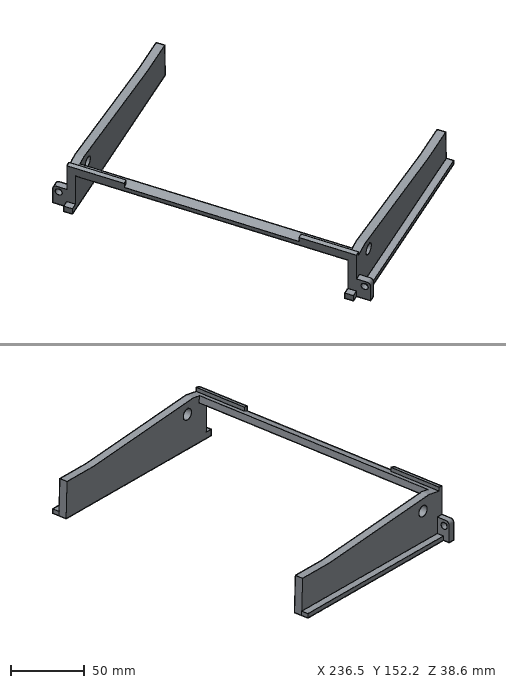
import cadquery as cq
import math

OVERALL_WIDTH = 236.5
OVERALL_HEIGHT = 38.58
PEG_LENGTH = 5.0
RAIL_LENGTH = 152.17 - PEG_LENGTH

EAR_WIDTH = 10.5
EAR_HEIGHT = 16.2
EAR_THICKNESS = 5.0
EAR_CORNER_RADIUS = 3.0
EAR_HOLE_DIAMETER = 5.2
EAR_HOLE_INSET = 4.5
EAR_HOLE_HEIGHT = 11.5

RAIL_THICKNESS = 6.5
RAIL_REAR_HEIGHT = 28.5
RAIL_REAR_FLAT = 28.7
RAIL_REAR_DRAFT = 2.0
RAIL_PEAK_Y = 13.8
RAIL_HOLE_DIAMETER = 8.5
RAIL_HOLE_Y = 20.0
RAIL_HOLE_HEIGHT = 27.1

LEDGE_WIDTH = 5.5
LEDGE_HEIGHT = 3.5

LIP_DEPTH = 3.2
LIP_FOOT_HEIGHT = 35.5
FRONT_SLOPE = 9.3
BAR_DEPTH = 8.1
BAR_UNDERSIDE_HEIGHT = 31.0
RECESS_LENGTH = 130.0
RECESS_FRONT_DEPTH = 4.15

PEG_HEIGHT = 5.0

RAIL_OUTER_X = OVERALL_WIDTH / 2 - EAR_WIDTH
RAIL_INNER_X = RAIL_OUTER_X - RAIL_THICKNESS
SLOPE_RISE = math.tan(math.radians(FRONT_SLOPE))
LIP_FRONT_HEIGHT = OVERALL_HEIGHT - LIP_DEPTH * SLOPE_RISE
RAIL_PEAK_HEIGHT = LIP_FOOT_HEIGHT + (RAIL_PEAK_Y - LIP_DEPTH) * SLOPE_RISE
RAIL_REAR_SETBACK = RAIL_REAR_HEIGHT * math.tan(math.radians(RAIL_REAR_DRAFT))


def box(x_start, x_end, y_start, y_end, z_start, z_end):
    """Axis-aligned block between two opposite corners."""
    size = (x_end - x_start, y_end - y_start, z_end - z_start)
    return cq.Workplane("XY").box(*size, centered=False).translate((x_start, y_start, z_start))


def side_profile(points, x_start, x_end):
    """Prism along X with a closed outline given as (y, z) points."""
    outline = cq.Workplane("YZ", origin=(x_start, 0, 0)).polyline(points).close()
    return outline.extrude(x_end - x_start)


def make_rail():
    """Right-hand rail: raised front lip, sloped top edge and one cross hole."""
    outline = [
        (0, 0),
        (RAIL_LENGTH, 0),
        (RAIL_LENGTH - RAIL_REAR_SETBACK, RAIL_REAR_HEIGHT),
        (RAIL_LENGTH - RAIL_REAR_FLAT, RAIL_REAR_HEIGHT),
        (RAIL_PEAK_Y, RAIL_PEAK_HEIGHT),
        (LIP_DEPTH, LIP_FOOT_HEIGHT),
        (LIP_DEPTH, OVERALL_HEIGHT),
        (0, LIP_FRONT_HEIGHT),
    ]
    rail = side_profile(outline, RAIL_INNER_X, RAIL_OUTER_X)
    hole = (
        cq.Workplane("YZ", origin=(RAIL_INNER_X, 0, 0))
        .center(RAIL_HOLE_Y, RAIL_HOLE_HEIGHT)
        .circle(RAIL_HOLE_DIAMETER / 2)
        .extrude(RAIL_THICKNESS)
    )
    return rail.cut(hole)


def make_ear():
    """Right-hand ear: rounded top outer corner and a through hole along Y."""
    ear = box(RAIL_OUTER_X, OVERALL_WIDTH / 2, 0, EAR_THICKNESS, 0, EAR_HEIGHT)
    ear = ear.edges(">X and >Z").fillet(EAR_CORNER_RADIUS)
    hole = (
        cq.Workplane("XZ")
        .center(OVERALL_WIDTH / 2 - EAR_HOLE_INSET, EAR_HOLE_HEIGHT)
        .circle(EAR_HOLE_DIAMETER / 2)
        .extrude(-EAR_THICKNESS)
    )
    return ear.cut(hole)


def make_side():
    """Everything at the right-hand end: rail, ear, ledge and peg."""
    ledge = box(RAIL_OUTER_X, RAIL_OUTER_X + LEDGE_WIDTH, 0, RAIL_LENGTH, 0, LEDGE_HEIGHT)
    peg = box(RAIL_INNER_X, RAIL_OUTER_X, -PEG_LENGTH, 0, 0, PEG_HEIGHT)
    return make_rail().union(make_ear()).union(ledge).union(peg)


def make_cross_bar():
    """Bar joining the rails: sloped top behind the lip, and a rear face square to that slope."""
    depth_past_lip = BAR_DEPTH - LIP_DEPTH
    rise_to_foot = LIP_FOOT_HEIGHT - BAR_UNDERSIDE_HEIGHT
    top_rear_offset = (depth_past_lip - rise_to_foot * SLOPE_RISE) / (1 + SLOPE_RISE**2)
    outline = [
        (0, BAR_UNDERSIDE_HEIGHT),
        (BAR_DEPTH, BAR_UNDERSIDE_HEIGHT),
        (LIP_DEPTH + top_rear_offset, LIP_FOOT_HEIGHT + top_rear_offset * SLOPE_RISE),
        (LIP_DEPTH, LIP_FOOT_HEIGHT),
        (LIP_DEPTH, OVERALL_HEIGHT),
        (0, LIP_FRONT_HEIGHT),
    ]
    return side_profile(outline, -RAIL_INNER_X, RAIL_INNER_X)


def make_recess():
    """Central cut through the lip, with a floor falling towards the front."""
    outline = [
        (0, OVERALL_HEIGHT - RECESS_FRONT_DEPTH),
        (LIP_DEPTH, LIP_FOOT_HEIGHT),
        (LIP_DEPTH, OVERALL_HEIGHT),
        (0, OVERALL_HEIGHT),
    ]
    return side_profile(outline, -RECESS_LENGTH / 2, RECESS_LENGTH / 2)


right_side = make_side()
left_side = right_side.mirror("YZ")
cross_bar = make_cross_bar().cut(make_recess())
result = cross_bar.union(right_side).union(left_side)